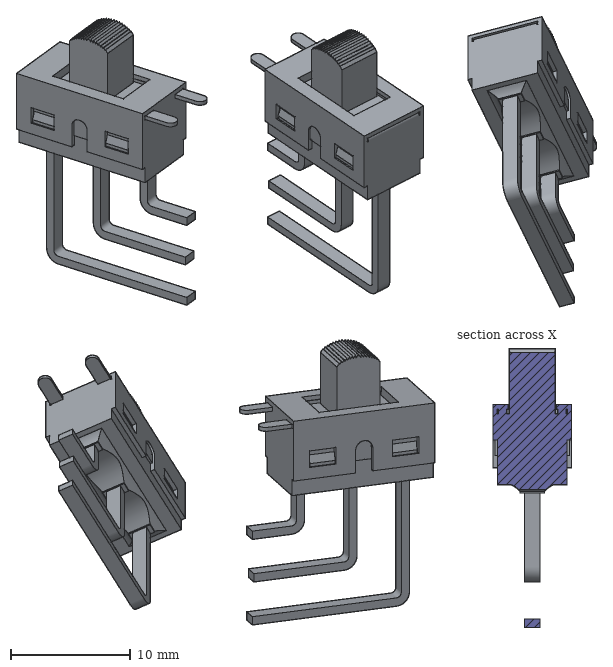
import cadquery as cq
import math


body_length = 12.7
body_width = 6.6
body_height = 6.77
base_width = 5.85
base_step_height = 1.43
base_half_width = base_width / 2
cover_wall = (body_width - base_width) / 2

knob_length = 3.86
knob_width = 3.89
tooth_count_per_side = 7
tooth_pitch_angle = 5.4
tooth_slope = 1.4
tooth_wall_run = 0.059
crown_radius = 2.8
knob_rise = 4.68
knob_peak_z = body_height + knob_rise
knob_opening_length = 7.12
knob_opening_width = 4.03

plate_thickness = 0.35
plate_cover_depth = 0.42
plate_top_z = body_height - plate_cover_depth
plate_bottom_z = plate_top_z - plate_thickness
plate_width = 5.67
plate_opening_margin = 0.12
tab_width = 1.2
tab_length = 2.7
tab_y = (plate_width - tab_width) / 2

window_length = 2.35
window_x = 3.72
window_bottom_z = 2.45
window_height = 1.48
latch_length = 2.27
latch_depth = 0.23
latch_face_height = 0.28
latch_height = 0.98
latch_face_top_z = window_bottom_z + latch_face_height
latch_ramp_top_z = window_bottom_z + latch_height

notch_width = 1.55
notch_top_z = 4.22
tongue_side_gap = 0.07
tongue_bottom_z = window_bottom_z
tongue_depth = 0.19

terminal_pitch = 4.7
terminal_width = 1.3
terminal_thickness = 0.75
bend_outer_radius = 2.4 / 2
bend_inner_radius = bend_outer_radius - terminal_thickness
terminal_row_pitch = 3.82
overall_height = 23.42
lowest_row_z = knob_peak_z - overall_height
outer_terminal_end_x = body_length / 2 + tab_length
middle_terminal_setback = 0.15
middle_terminal_end_x = outer_terminal_end_x - middle_terminal_setback
potting_half_length = 5.85
potting_half_width = 1.75
collar_half_width = 1.03
collar_margin = 0.05
collar_half_length = terminal_thickness / 2 + collar_margin
collar_top_z = -0.55
collar_bottom_z = -0.68
potting_crest_z = -0.12
flare_sag = 0.07


def block(length, width, bottom_z, top_z, x=0.0, y=0.0):
    """Rectangular block centred on (x, y) between two heights."""
    height = top_z - bottom_z
    return (
        cq.Workplane("XY", origin=(x, y, bottom_z))
        .rect(length, width)
        .extrude(height)
    )


def extrude_across(profile, width):
    """Extrude an XZ profile symmetrically about Y = 0."""
    return profile.close().extrude(width / 2, both=True)


def arch(left_x, bottom_z, depth):
    """Round-topped block that reaches out (-Y) from the base, cut off square at left_x."""
    radius = notch_width / 2
    spring_z = notch_top_z - radius
    center_y = -base_half_width - depth / 2
    post = block(notch_width, depth, bottom_z, spring_z, y=center_y)
    crown = (
        cq.Workplane("XZ", origin=(0, center_y, spring_z))
        .circle(radius)
        .extrude(depth / 2, both=True)
    )
    kept = block(radius - left_x, depth, bottom_z, notch_top_z, x=(radius + left_x) / 2, y=center_y)
    return post.union(crown).intersect(kept)


def add_front_details(housing):
    """Cut the windows and notch in the -Y cover wall, then add the latches and tongue in them."""
    wall_y = -(base_half_width + cover_wall / 2)
    for side in (-1, 1):
        housing = housing.cut(
            block(
                window_length,
                cover_wall,
                window_bottom_z,
                window_bottom_z + window_height,
                x=side * window_x,
                y=wall_y,
            )
        )
        latch_x = side * (window_x - (window_length - latch_length) / 2)
        latch = (
            cq.Workplane("YZ")
            .moveTo(-base_half_width, window_bottom_z)
            .lineTo(-base_half_width - latch_depth, window_bottom_z)
            .lineTo(-base_half_width - latch_depth, latch_face_top_z)
            .lineTo(-base_half_width, latch_ramp_top_z)
            .close()
            .extrude(latch_length / 2, both=True)
            .translate((latch_x, 0, 0))
        )
        housing = housing.union(latch)

    half_notch = notch_width / 2
    notch = arch(-half_notch, base_step_height, cover_wall)
    tongue = arch(-half_notch + tongue_side_gap, tongue_bottom_z, tongue_depth)
    return housing.cut(notch).union(tongue)


def make_housing():
    base = block(body_length, base_width, 0, base_step_height)
    cover = block(body_length, body_width, base_step_height, body_height)
    housing = base.union(cover)
    housing = add_front_details(housing)
    housing = add_front_details(housing.mirror("XZ")).mirror("XZ")
    opening = block(knob_opening_length, knob_opening_width, plate_bottom_z, body_height)
    plate_slot = block(body_length, base_width, plate_bottom_z, plate_top_z)
    return housing.cut(opening).cut(plate_slot)


def make_plate():
    """Plate inside its slot, with a rounded upper -X edge and two round-ended tabs at +X."""
    end_x = body_length / 2
    edge_radius = plate_thickness
    edge_inset = edge_radius * (1 - math.sqrt(0.5))
    plate = extrude_across(
        cq.Workplane("XZ")
        .moveTo(-end_x, plate_bottom_z)
        .lineTo(end_x, plate_bottom_z)
        .lineTo(end_x, plate_top_z)
        .lineTo(-end_x + edge_radius, plate_top_z)
        .threePointArc((-end_x + edge_inset, plate_top_z - edge_inset), (-end_x, plate_bottom_z)),
        plate_width,
    )
    straight_length = tab_length - tab_width / 2
    for side in (-1, 1):
        strip = block(
            straight_length,
            tab_width,
            plate_bottom_z,
            plate_top_z,
            x=end_x + straight_length / 2,
            y=side * tab_y,
        )
        tip = (
            cq.Workplane("XY", origin=(end_x + straight_length, side * tab_y, plate_bottom_z))
            .circle(tab_width / 2)
            .extrude(plate_thickness)
        )
        plate = plate.union(strip).union(tip)
    plate_opening = block(
        knob_opening_length,
        knob_opening_width + 2 * plate_opening_margin,
        plate_bottom_z,
        plate_top_z,
    )
    return plate.cut(plate_opening)


def tooth_peak(tooth):
    """Peak of a tooth on the round crown, counted from the centre peak."""
    angle = math.radians(tooth * tooth_pitch_angle)
    return (crown_radius * math.sin(angle), knob_peak_z - crown_radius * (1 - math.cos(angle)))


def make_knob():
    """Knob with a serrated crown; equal slopes run down and away from the centre peak."""
    half_length = knob_length / 2
    right_side = []
    peak_x, peak_z = tooth_peak(0)
    for tooth in range(1, tooth_count_per_side + 1):
        next_x, next_z = tooth_peak(tooth)
        valley_x = next_x - tooth_wall_run
        right_side.append((valley_x, peak_z - tooth_slope * (valley_x - peak_x)))
        right_side.append((next_x, next_z))
        peak_x, peak_z = next_x, next_z
    right_side.append((half_length, peak_z - tooth_slope * (half_length - peak_x)))
    right_side.append((half_length, plate_bottom_z))
    left_side = [(-x, z) for x, z in reversed(right_side)]
    outline = left_side + [tooth_peak(0)] + right_side
    return extrude_across(cq.Workplane("XZ").polyline(outline), knob_width)


def make_terminal(x, row_bottom_z, end_x):
    """L-shaped terminal that drops from the base and bends towards +X."""
    outer_x = x - terminal_thickness / 2
    bend_x = outer_x + bend_outer_radius
    bend_z = row_bottom_z + bend_outer_radius
    diagonal = math.sqrt(0.5)
    outer_reach = bend_outer_radius * diagonal
    inner_reach = bend_inner_radius * diagonal
    profile = (
        cq.Workplane("XZ")
        .moveTo(outer_x, 0)
        .lineTo(outer_x, bend_z)
        .threePointArc((bend_x - outer_reach, bend_z - outer_reach), (bend_x, row_bottom_z))
        .lineTo(end_x, row_bottom_z)
        .lineTo(end_x, row_bottom_z + terminal_thickness)
        .lineTo(bend_x, row_bottom_z + terminal_thickness)
        .threePointArc(
            (bend_x - inner_reach, bend_z - inner_reach),
            (outer_x + terminal_thickness, bend_z),
        )
        .lineTo(outer_x + terminal_thickness, 0)
    )
    return extrude_across(profile, terminal_width)


def make_potting():
    """Sealing compound: hollow flares that run down to a collar round each terminal."""
    flare_mid_z = collar_top_z / 2 + flare_sag
    first_collar_x = -terminal_pitch - collar_half_length
    last_collar_x = terminal_pitch + collar_half_length
    long_profile = (
        cq.Workplane("XZ")
        .moveTo(-potting_half_length, 0)
        .threePointArc(
            ((first_collar_x - potting_half_length) / 2, flare_mid_z),
            (first_collar_x, collar_top_z),
        )
    )
    for index in (-1, 0, 1):
        collar_x = index * terminal_pitch
        long_profile = (
            long_profile.lineTo(collar_x - collar_half_length, collar_bottom_z)
            .lineTo(collar_x + collar_half_length, collar_bottom_z)
            .lineTo(collar_x + collar_half_length, collar_top_z)
        )
        if index < 1:
            next_x = collar_x + terminal_pitch
            long_profile = long_profile.threePointArc(
                (collar_x + terminal_pitch / 2, potting_crest_z),
                (next_x - collar_half_length, collar_top_z),
            )
    long_profile = long_profile.threePointArc(
        ((last_collar_x + potting_half_length) / 2, flare_mid_z), (potting_half_length, 0)
    )
    long_shape = extrude_across(long_profile, 2 * potting_half_width)

    flare_mid_y = (potting_half_width + collar_half_width) / 2
    cross_shape = (
        cq.Workplane("YZ")
        .moveTo(-potting_half_width, 0)
        .threePointArc((-flare_mid_y, flare_mid_z), (-collar_half_width, collar_top_z))
        .lineTo(-collar_half_width, collar_bottom_z)
        .lineTo(collar_half_width, collar_bottom_z)
        .lineTo(collar_half_width, collar_top_z)
        .threePointArc((flare_mid_y, flare_mid_z), (potting_half_width, 0))
        .close()
        .extrude(potting_half_length, both=True)
    )
    return long_shape.intersect(cross_shape)


result = make_housing().union(make_plate()).union(make_knob()).union(make_potting())

terminal_ends = (outer_terminal_end_x, middle_terminal_end_x, outer_terminal_end_x)
for row, end_x in enumerate(terminal_ends):
    terminal_x = (row - 1) * terminal_pitch
    result = result.union(make_terminal(terminal_x, lowest_row_z + row * terminal_row_pitch, end_x))